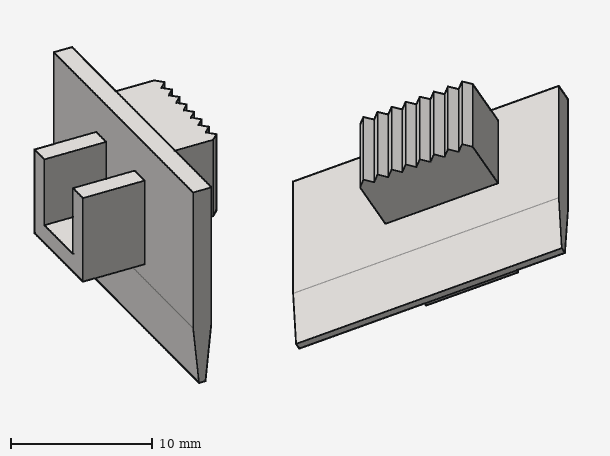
import cadquery as cq

plate_width = 21.02
plate_height = 16.08
plate_thickness = 1.47
taper_height = 4.73
edge_thickness = 0.53

bracket_left = -4.1
bracket_width = 7.3
bracket_bottom = 6.0
bracket_height = 7.0
bracket_depth = 4.95
bracket_wall = 1.5

grip_width = 8.91
grip_bottom = 8.39
grip_height = 6.4
grip_depth = 4.58
tooth_count = 8
tooth_depth = 0.57

half_thickness = plate_thickness / 2
bracket_right = bracket_left + bracket_width
grip_left = bracket_right - grip_width


def make_plate():
    """Flat plate whose lower end tapers evenly to a blunt edge."""
    half_edge = edge_thickness / 2
    profile = [
        (-half_edge, 0),
        (half_edge, 0),
        (half_thickness, taper_height),
        (half_thickness, plate_height),
        (-half_thickness, plate_height),
        (-half_thickness, taper_height),
    ]
    return cq.Workplane("YZ").polyline(profile).close().extrude(plate_width / 2, both=True)


def make_bracket():
    """U-shaped block, open at the top and front."""
    bracket_top = bracket_bottom + bracket_height
    slot_left = bracket_left + bracket_wall
    slot_right = bracket_right - bracket_wall
    slot_floor = bracket_bottom + bracket_wall
    profile = [
        (bracket_left, bracket_bottom),
        (bracket_right, bracket_bottom),
        (bracket_right, bracket_top),
        (slot_right, bracket_top),
        (slot_right, slot_floor),
        (slot_left, slot_floor),
        (slot_left, bracket_top),
        (bracket_left, bracket_top),
    ]
    return cq.Workplane("XZ").polyline(profile).close().extrude(half_thickness + bracket_depth)


def make_grip():
    """Block with vertical V-shaped teeth along its back face."""
    tooth_pitch = grip_width / tooth_count
    peak_y = half_thickness + grip_depth
    valley_y = peak_y - tooth_depth
    profile = [(bracket_right, 0), (grip_left, 0), (grip_left, valley_y)]
    for tooth in range(tooth_count):
        tooth_left = grip_left + tooth * tooth_pitch
        profile.append((tooth_left + tooth_pitch / 2, peak_y))
        profile.append((tooth_left + tooth_pitch, valley_y))
    base = cq.Workplane("XY").workplane(offset=grip_bottom)
    return base.polyline(profile).close().extrude(grip_height)


result = make_plate().union(make_bracket()).union(make_grip())